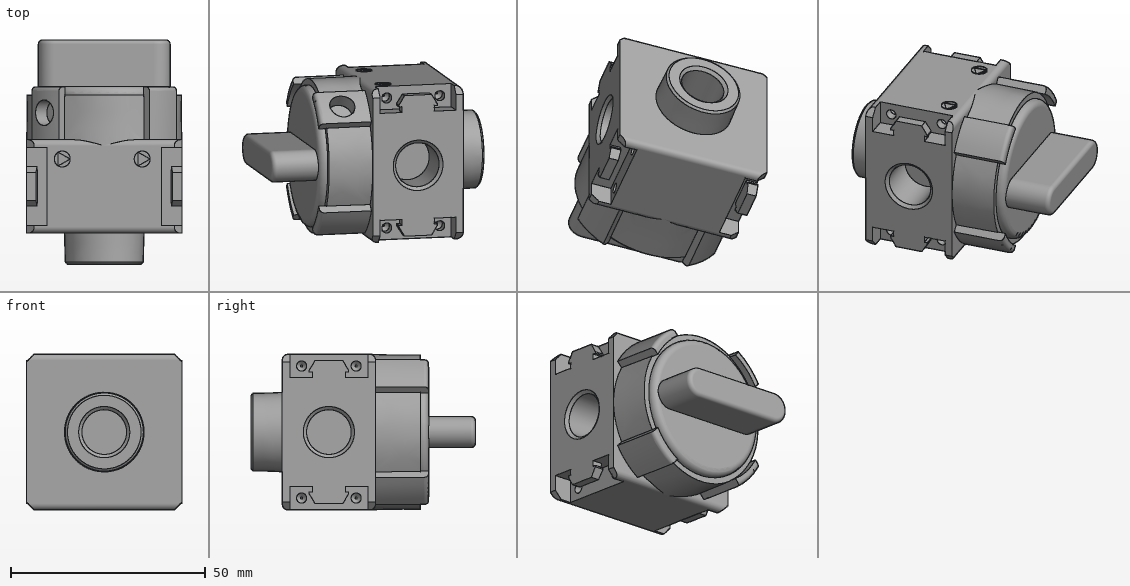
import cadquery as cq
import math

overall_length = 57.6

block_side = 40.0
half_side = block_side / 2
block_depth = 23.95
ridge_radius = 1.55
corner_chamfer = 2.0

boss_base_diameter = 20.45
boss_tip_diameter = 20.05
boss_length = 8.0
boss_chamfer = 0.6
port_diameter = 11.45
port_mouth_diameter = 13.15
port_depth = 11.5

notch_end_wall = 1.95
notch_height = 6.05
notch_length = 5.25
key_top_gap = 1.65
key_top_width = 7.15
key_wing_width = 10.15
key_wing_rise = 1.9
key_neck_width = 8.5
key_neck_height = 1.5
key_base_length = 2.9
key_top_length = 2.5
pilot_diameter = 2.6
pilot_depth = 2.6
pilot_spacing = 14.0
pilot_inset = 3.05
pilot_tip_diameter = 0.5
pilot_tip_length = 1.15

mark_diameter = 4.1
mark_depth = 0.2
mark_triangle_depth = 0.35
mark_spacing = 20.5
mark_offset = -0.5
mark_from_front = 19.0
mark_triangle_back = 0.26

body_end = 35.4
body_end_diameter = 39.75
cap_diameter = 36.5
cap_end = 37.6
cap_fillet = 1.85
lug_radius = 21.9
lug_width = 9.85
lug_root_overlap = 0.25
lug_end = 37.5
lug_fillet = 1.1
lug_hole_diameter = 6.5
lug_hole_position = 30.9
lug_hole_floor = 17.55
handle_width = 33.85
handle_thickness = 8.0
handle_end = overall_length - boss_length
handle_fillet = 1.15


def rod(diameter, start, end):
    """Cylinder on the Y axis between two Y positions."""
    return cq.Workplane("XZ", origin=(0, start, 0)).circle(diameter / 2).extrude(start - end)


def make_block():
    block = cq.Workplane("XY").box(block_side, block_depth, block_side)
    block = block.translate((0, block_depth / 2, 0))
    block = block.edges("|X").fillet(ridge_radius)
    bevel = (
        cq.Workplane("XZ")
        .rect(block_side, block_side)
        .extrude(-block_depth)
        .edges("|Y")
        .chamfer(corner_chamfer)
    )
    return block.intersect(bevel)


def make_notch():
    """Pocket cut into the -X, +Z edge, with two pilot holes in its back wall."""
    middle = block_depth / 2
    notch = cq.Workplane("XY").box(
        notch_length, block_depth - 2 * notch_end_wall, notch_height, centered=(False, True, False)
    ).translate((-half_side, middle, half_side - notch_height))

    radius = pilot_diameter / 2
    tip = pilot_depth + pilot_tip_length
    pilot = (
        cq.Workplane("XY")
        .polyline([(0, 0), (0, radius), (pilot_depth, radius), (tip, pilot_tip_diameter / 2), (tip, 0)])
        .close()
        .revolve(360, (0, 0, 0), (1, 0, 0))
    )
    for side in (-1, 1):
        notch = notch.union(pilot.translate((
            -half_side + notch_length,
            middle + side * pilot_spacing / 2,
            half_side - pilot_inset,
        )))
    return notch


def make_key():
    """T-shaped key standing on the floor of the -X, +Z notch, its inner end sloping back."""
    floor = half_side - notch_height
    key_top = half_side - key_top_gap
    neck = key_neck_width / 2
    wing = key_wing_width / 2
    crown = key_top_width / 2
    neck_top = floor + key_neck_height
    wing_tip = floor + key_wing_rise
    right_side = [(neck, floor), (neck, neck_top), (wing, neck_top), (wing, wing_tip), (crown, key_top)]
    left_side = [(-y, z) for y, z in reversed(right_side)]
    key = (
        cq.Workplane("YZ", origin=(-half_side, block_depth / 2, 0))
        .polyline(right_side + left_side)
        .close()
        .extrude(key_base_length)
    )
    sloped_end = (
        cq.Workplane("XZ", origin=(0, block_depth, 0))
        .polyline([
            (-half_side, floor),
            (-half_side + key_base_length, floor),
            (-half_side + key_top_length, key_top),
            (-half_side, key_top),
        ])
        .close()
        .extrude(block_depth)
    )
    return key.intersect(sloped_end)


def make_port():
    """Blind port along +Y with its mouth at Y = 0."""
    radius = port_diameter / 2
    mouth = port_mouth_diameter / 2
    bevel = mouth - radius
    return (
        cq.Workplane("XY")
        .polyline([(0, 0), (mouth, 0), (radius, bevel), (radius, port_depth), (0, port_depth)])
        .close()
        .revolve(360, (0, 0, 0), (0, 1, 0))
    )


def make_boss():
    tip = boss_tip_diameter / 2
    return (
        cq.Workplane("XY")
        .polyline([
            (0, ridge_radius),
            (boss_base_diameter / 2, ridge_radius),
            (boss_base_diameter / 2, 0),
            (tip, boss_chamfer - boss_length),
            (tip - boss_chamfer, -boss_length),
            (0, -boss_length),
        ])
        .close()
        .revolve(360, (0, 0, 0), (0, 1, 0))
    )


def make_flow_mark():
    """Shallow round recess with a deeper triangle pointing along +X."""
    radius = mark_diameter / 2
    back = mark_triangle_back * mark_diameter
    half_base = math.sqrt(radius**2 - back**2)
    top = cq.Workplane("XY", origin=(0, 0, half_side))
    recess = top.circle(radius).extrude(-mark_depth)
    triangle = (
        top.polyline([(radius, 0), (-back, half_base), (-back, -half_base)])
        .close()
        .extrude(-mark_triangle_depth)
    )
    return recess.union(triangle)


def make_rear_body():
    start = block_depth - ridge_radius
    body = (
        cq.Workplane("XY")
        .polyline([
            (0, start),
            (half_side, start),
            (body_end_diameter / 2, body_end),
            (0, body_end),
        ])
        .close()
        .revolve(360, (0, 0, 0), (0, 1, 0))
    )
    cap = rod(cap_diameter, block_depth, cap_end).faces(">Y").edges().fillet(cap_fillet)
    return body.union(cap)


def make_lugs():
    """Four lugs on the diagonals, overhanging the body end with a gap around the cap."""
    start = block_depth - ridge_radius
    disc = rod(2 * lug_radius, start, lug_end).faces(">Y").edges().fillet(lug_fillet)
    ring = disc.cut(rod(block_side - 2 * lug_root_overlap, start, lug_end))
    bar = cq.Workplane("XY").box(2 * lug_radius, lug_end, lug_width, centered=(True, False, True))
    bars = [bar.rotate((0, 0, 0), (0, 1, 0), angle) for angle in (45, 135)]
    return ring.intersect(bars[0].union(bars[1]))


def make_lug_hole():
    """Blind hole in the -X, +Z lug, pointing at the axis."""
    drill = (
        cq.Workplane("XY", origin=(0, 0, lug_hole_floor))
        .circle(lug_hole_diameter / 2)
        .extrude(lug_radius - lug_hole_floor)
    )
    return drill.rotate((0, 0, 0), (0, 1, 0), -45).translate((0, lug_hole_position, 0))


def make_handle():
    return (
        cq.Workplane("XZ", origin=(0, body_end, 0))
        .slot2D(handle_width, handle_thickness)
        .extrude(body_end - handle_end)
        .faces(">Y")
        .edges()
        .fillet(handle_fillet)
    )


def on_four_edges(corner):
    """Copies of a -X, +Z edge feature on all four edges along Y."""
    pair = [corner, corner.mirror("XY")]
    return pair + [piece.mirror("YZ") for piece in pair]


result = make_block()
for notch in on_four_edges(make_notch()):
    result = result.cut(notch)
for key in on_four_edges(make_key()):
    result = result.union(key)

result = result.union(make_boss())
result = result.union(make_rear_body()).union(make_lugs()).union(make_handle())

port = make_port()
result = result.cut(port.translate((0, -boss_length, 0)))
for side in (-1, 1):
    side_port = port.rotate((0, 0, 0), (0, 0, 1), 90 * side)
    result = result.cut(side_port.translate((side * half_side, block_depth / 2, 0)))

result = result.cut(make_lug_hole())
for side in (-1, 1):
    center = mark_offset + side * mark_spacing / 2
    result = result.cut(make_flow_mark().translate((center, mark_from_front, 0)))